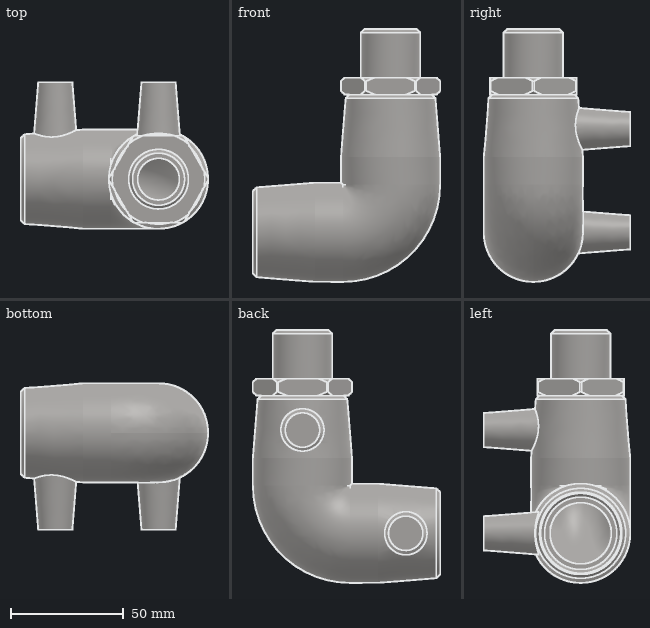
import cadquery as cq
import math

overall_x = 83.0
overall_y = 65.0
overall_z = 112.0

body_radius = 44.0 / 2
bend_radius = 21.0
taper_start = 33.4
arm_length = overall_x - body_radius
rim_radius = 19.9
rim_chamfer = 1.7

socket_radius = 32.0 / 2
socket_chamfer = 1.7
socket_depth = 24.6
groove_start = 10.9
groove_width = 4.7
groove_depth = 0.9
bore_radius = 13.5

hex_height = 7.5
hex_across_flats = 38.5
hex_chamfer = 1.6
spigot_radius = 26.4 / 2
spigot_chamfer = 1.7
spigot_bore_radius = 18.5 / 2

peg_position = 45.7
peg_end = overall_y - body_radius
peg_tip_radius = 7.6
peg_slope = 0.08

hex_top = arm_length + hex_height
spigot_top = overall_z - body_radius


def to_horizontal(solid):
    """Turn a solid lying along +Z so that it lies along -X."""
    return solid.rotate((0, 0, 0), (0, 1, 0), -90)


def cylinder(radius, start, end):
    return cq.Workplane("XY").workplane(offset=start).circle(radius).extrude(end - start)


def make_arm():
    """Straight sleeve, conical taper and chamfered rim, lying along +Z."""
    return (
        cq.Workplane("XZ")
        .polyline([
            (0, bend_radius),
            (body_radius, bend_radius),
            (body_radius, taper_start),
            (rim_radius, arm_length - rim_chamfer),
            (rim_radius - rim_chamfer, arm_length),
            (0, arm_length),
        ])
        .close()
        .revolve(360, (0, 0, 0), (0, 1, 0))
    )


def make_bend(radius):
    """Quarter bend; any part of the section beyond the bend axis is left out."""
    section = cq.Sketch().circle(radius)
    if radius > bend_radius:
        clip_size = 4 * radius
        section = section.push([(clip_size / 2 - bend_radius, 0)]).rect(clip_size, clip_size, mode="i")
    return (
        cq.Workplane("XY")
        .workplane(offset=bend_radius)
        .placeSketch(section)
        .revolve(90, (-bend_radius, 0, 0), (-bend_radius, 1, 0))
    )


def make_hex():
    """Hexagon with corners along X, trimmed to the pipe radius and bevelled at both ends."""
    prism = (
        cq.Workplane("XY")
        .workplane(offset=arm_length)
        .polygon(6, hex_across_flats / math.cos(math.pi / 6))
        .extrude(hex_height)
    )
    bevel = cylinder(body_radius, arm_length, hex_top).edges().chamfer(hex_chamfer)
    return prism.intersect(bevel)


def make_peg():
    """Tapered peg pointing along +Y, rooted on the pipe axis."""
    root_radius = peg_tip_radius + peg_slope * peg_end
    return (
        cq.Workplane("XY")
        .polyline([(0, 0), (root_radius, 0), (peg_tip_radius, peg_end), (0, peg_end)])
        .close()
        .revolve(360, (0, 0, 0), (0, 1, 0))
    )


def make_socket():
    """Round socket with a chamfered mouth and a shallow internal groove."""
    groove_near = arm_length - groove_start
    chamfer_start = arm_length - socket_chamfer
    hole = cylinder(socket_radius, arm_length - socket_depth, arm_length)
    groove = cylinder(socket_radius + groove_depth, groove_near - groove_width, groove_near)
    mouth = (
        cq.Workplane("XY")
        .workplane(offset=chamfer_start)
        .circle(socket_radius)
        .workplane(offset=socket_chamfer)
        .circle(socket_radius + socket_chamfer)
        .loft()
    )
    return hole.union(groove).union(mouth)


arm = make_arm()
body = arm.union(to_horizontal(arm)).union(make_bend(body_radius))

spigot = cylinder(spigot_radius, hex_top, spigot_top).faces(">Z").chamfer(spigot_chamfer)
body = body.union(make_hex()).union(spigot)

for peg_place in [(-peg_position, 0, 0), (0, 0, peg_position)]:
    body = body.union(make_peg().translate(peg_place))

wide_bore = cylinder(bore_radius, bend_radius, arm_length)
passage = (
    make_bend(bore_radius)
    .union(wide_bore)
    .union(to_horizontal(wide_bore))
    .union(to_horizontal(make_socket()))
    .union(cylinder(spigot_bore_radius, arm_length, spigot_top))
)
result = body.cut(passage)